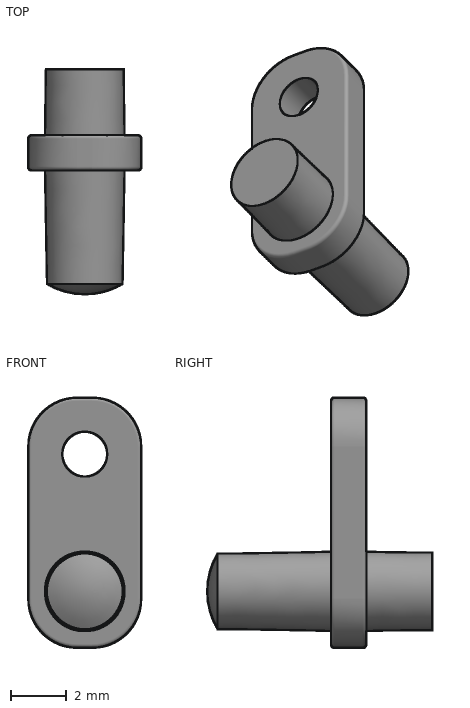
import cadquery as cq
import math

plate_width = 4.06
plate_height = 8.98
plate_thickness = 1.27
corner_radius = 1.77
edge_fillet = 0.13

hole_diameter = 1.6
end_margin = plate_width / 2
pin_z = 0.0
hole_z = plate_height - 2 * end_margin
plate_center_z = (pin_z + hole_z) / 2

overall_depth = 8.08
rear_length = 2.37
dome_height = 0.38
front_length = overall_depth - plate_thickness - rear_length - dome_height
root_radius = 1.43
front_tip_radius = 1.36
rear_tip_radius = 1.4

plate_front_y = -plate_thickness / 2
plate_rear_y = plate_thickness / 2
pin_rear_y = plate_rear_y + rear_length
dome_base_y = plate_front_y - front_length
dome_tip_y = dome_base_y - dome_height


def make_plate():
    """Rounded tab with softened face edges and a through hole near the top."""
    plate = (
        cq.Workplane("XY")
        .box(plate_width, plate_thickness, plate_height)
        .edges("|Y")
        .fillet(corner_radius)
        .faces("<Y or >Y")
        .edges()
        .fillet(edge_fillet)
        .translate((0, 0, plate_center_z))
    )
    hole = (
        cq.Workplane("XZ", origin=(0, plate_rear_y, hole_z))
        .circle(hole_diameter / 2)
        .extrude(plate_thickness)
    )
    return plate.cut(hole)


def make_pin():
    """Double-tapered pin with a domed front end, revolved about the Y axis."""
    sphere_radius = (front_tip_radius**2 + dome_height**2) / (2 * dome_height)
    sphere_center_y = dome_tip_y + sphere_radius
    arc_mid_x = front_tip_radius / 2
    arc_mid_y = sphere_center_y - math.sqrt(sphere_radius**2 - arc_mid_x**2)
    profile = (
        cq.Workplane("XY")
        .moveTo(0, pin_rear_y)
        .lineTo(rear_tip_radius, pin_rear_y)
        .lineTo(root_radius, plate_rear_y)
        .lineTo(root_radius, plate_front_y)
        .lineTo(front_tip_radius, dome_base_y)
        .threePointArc((arc_mid_x, arc_mid_y), (0, dome_tip_y))
        .close()
    )
    pin = profile.revolve(360, (0, 0, 0), (0, 1, 0))
    return pin.translate((0, 0, pin_z))


result = make_plate().union(make_pin())